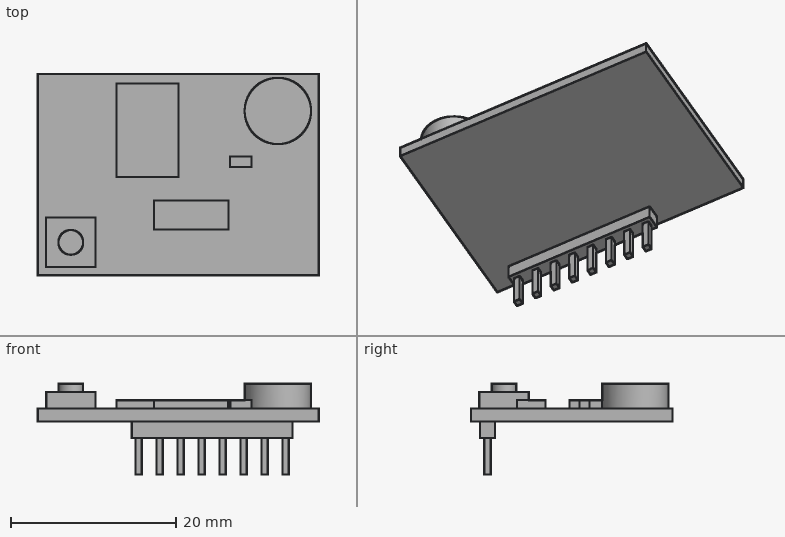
import cadquery as cq

BOARD_LENGTH = 34.0
BOARD_WIDTH = 24.4
BOARD_THICKNESS = 1.6

BUTTON_SIZE = 6.0
BUTTON_HEIGHT = 2.0
BUTTON_EDGE_GAP = 1.0
KNOB_DIAMETER = 3.0
KNOB_HEIGHT = 1.0

BUZZER_DIAMETER = 8.03
BUZZER_HEIGHT = 3.0
BUZZER_X = 12.05
BUZZER_Y = 7.7

PACKAGE_HEIGHT = 1.0
MODULE_SIZE = (7.5, 11.3)
MODULE_CENTER = (-3.75, 5.35)
CHIP_SIZE = (9.0, 3.5)
CHIP_CENTER = (1.55, -4.9)
LED_SIZE = (2.6, 1.25)
LED_CENTER = (7.57, 1.55)

HEADER_LENGTH = 19.5
HEADER_WIDTH = 1.85
HEADER_HEIGHT = 2.0
HEADER_CENTER = (4.1, -10.2)
PIN_COUNT = 8
PIN_PITCH = 2.54
PIN_WIDTH = 0.8
PIN_LENGTH = 4.4


def block(size, center, bottom, height):
    """Rectangular block standing on the plane z = bottom."""
    return (
        cq.Workplane("XY", origin=(center[0], center[1], bottom))
        .rect(*size)
        .extrude(height)
    )


def disc(diameter, center, bottom, height):
    """Upright cylinder standing on the plane z = bottom."""
    return (
        cq.Workplane("XY", origin=(center[0], center[1], bottom))
        .circle(diameter / 2)
        .extrude(height)
    )


def make_board():
    return block((BOARD_LENGTH, BOARD_WIDTH), (0, 0), -BOARD_THICKNESS, BOARD_THICKNESS)


def make_button():
    edge_offset = BUTTON_EDGE_GAP + BUTTON_SIZE / 2
    center = (edge_offset - BOARD_LENGTH / 2, edge_offset - BOARD_WIDTH / 2)
    body = block((BUTTON_SIZE, BUTTON_SIZE), center, 0, BUTTON_HEIGHT)
    knob = disc(KNOB_DIAMETER, center, BUTTON_HEIGHT, KNOB_HEIGHT)
    return body.union(knob)


def make_buzzer():
    return disc(BUZZER_DIAMETER, (BUZZER_X, BUZZER_Y), 0, BUZZER_HEIGHT)


def make_header():
    header_bottom = -BOARD_THICKNESS - HEADER_HEIGHT
    header = block((HEADER_LENGTH, HEADER_WIDTH), HEADER_CENTER, header_bottom, HEADER_HEIGHT)
    center_x, center_y = HEADER_CENTER
    for index in range(PIN_COUNT):
        pin_x = center_x + (index - (PIN_COUNT - 1) / 2) * PIN_PITCH
        pin = block(
            (PIN_WIDTH, PIN_WIDTH), (pin_x, center_y), header_bottom - PIN_LENGTH, PIN_LENGTH
        )
        header = header.union(pin)
    return header


result = make_board().union(make_button()).union(make_buzzer()).union(make_header())

for package_size, package_center in (
    (MODULE_SIZE, MODULE_CENTER),
    (CHIP_SIZE, CHIP_CENTER),
    (LED_SIZE, LED_CENTER),
):
    result = result.union(block(package_size, package_center, 0, PACKAGE_HEIGHT))